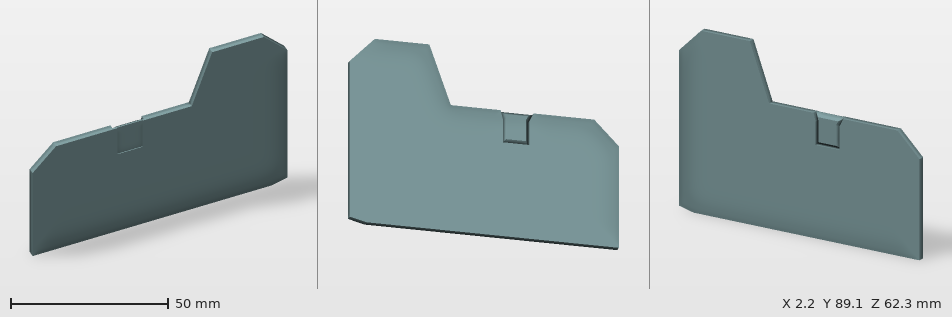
import cadquery as cq
import math

length = 89.1
height = 62.3
thickness = 2.2
shoulder_height = 42.5
corner_cut = 8.2
tower_top_end = 18.3
tower_foot = 11.1
bottom_cut_length = 5.4
bottom_cut_height = 1.3

pocket_depth = 1.6
pocket_height = 10.8
pocket_sides = (-14.9, -6.1)
opening_sides = (-16.3, -5.35)
flare_height = 2.85
pad_slope_width = 1.2

recess_depth = 0.3

face_x = -thickness / 2
back = -length / 2
front = length / 2


def make_plate():
    outline = [
        (back, 0),
        (front - bottom_cut_length, 0),
        (front, bottom_cut_height),
        (front, height - corner_cut),
        (front - corner_cut, height),
        (tower_top_end, height),
        (tower_foot, shoulder_height),
        (back + corner_cut, shoulder_height),
        (back, shoulder_height - corner_cut),
    ]
    return cq.Workplane("YZ", origin=(face_x, 0, 0)).polyline(outline).close().extrude(thickness)


def pocket_outline():
    """Pocket outline on its floor: straight below, flared up to the shoulder."""
    pocket_bottom = shoulder_height - pocket_height
    flare_bottom = shoulder_height - flare_height
    outline = [
        (pocket_sides[0], pocket_bottom),
        (pocket_sides[1], pocket_bottom),
        (pocket_sides[1], flare_bottom),
        (opening_sides[1], shoulder_height),
        (opening_sides[0], shoulder_height),
        (pocket_sides[0], flare_bottom),
    ]
    floor_x = face_x + pocket_depth
    return cq.Workplane("YZ", origin=(floor_x, 0, 0)).polyline(outline).close()


def make_pocket():
    return pocket_outline().extrude(-pocket_depth)


def make_pad():
    pad_taper = math.degrees(math.atan2(pad_slope_width, pocket_depth))
    return pocket_outline().extrude(-pocket_depth, taper=pad_taper)


def make_back_recess():
    return cq.Workplane("XY").box(
        recess_depth,
        pocket_sides[1] - pocket_sides[0],
        pocket_height,
        centered=False,
    ).translate((
        thickness / 2 - recess_depth,
        pocket_sides[0],
        shoulder_height - pocket_height,
    ))


result = make_plate().cut(make_pocket()).union(make_pad()).cut(make_back_recess())